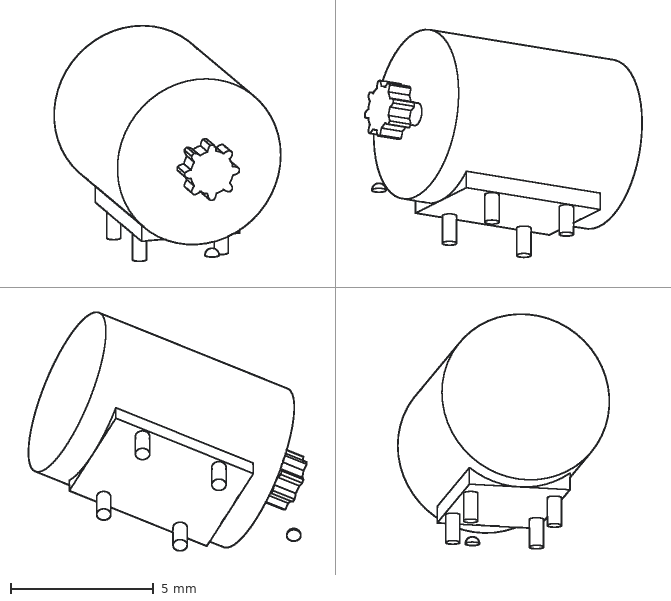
import cadquery as cq
import math

housing_diameter = 6.0
housing_length = 7.4
housing_radius = housing_diameter / 2
axis_height = housing_radius

base_length = 5.4
base_height = 0.6
base_width = 2 * math.sqrt(housing_radius**2 - (axis_height - base_height)**2)

pin_diameter = 0.5
pin_length = 1.0
pin_spacing = 3.0

shaft_diameter = 0.8
shaft_length = 0.65
gear_length = 0.85
tooth_count = 8
gear_tip_radius = 1.0
gear_root_radius = 0.78
tooth_tip_half_angle = 3.8
tooth_mid_half_angle = 8.6
tooth_root_half_angle = 11.5

dome_diameter = 0.5

shaft_start = housing_length / 2
gear_start = shaft_start + shaft_length
gear_end = gear_start + gear_length


def axial_plane(x):
    """Sketch plane facing +X, with its origin on the motor axis."""
    return cq.Workplane("YZ", origin=(x, 0, axis_height))


def polar(radius, degrees):
    angle = math.radians(degrees)
    return radius * math.cos(angle), radius * math.sin(angle)


def make_gear():
    """Pinion with round tooth tips, convex flanks and a round root."""
    pitch_angle = 360 / tooth_count
    flank_mid_radius = (gear_tip_radius + gear_root_radius) / 2
    outline = axial_plane(gear_start).moveTo(*polar(gear_root_radius, -tooth_root_half_angle))
    for tooth in range(tooth_count):
        centre = tooth * pitch_angle
        outline = outline.threePointArc(
            polar(flank_mid_radius, centre - tooth_mid_half_angle),
            polar(gear_tip_radius, centre - tooth_tip_half_angle),
        )
        outline = outline.threePointArc(
            polar(gear_tip_radius, centre),
            polar(gear_tip_radius, centre + tooth_tip_half_angle),
        )
        outline = outline.threePointArc(
            polar(flank_mid_radius, centre + tooth_mid_half_angle),
            polar(gear_root_radius, centre + tooth_root_half_angle),
        )
        outline = outline.threePointArc(
            polar(gear_root_radius, centre + pitch_angle / 2),
            polar(gear_root_radius, centre + pitch_angle - tooth_root_half_angle),
        )
    return outline.close().extrude(gear_length)


def make_motor():
    """Housing, base, pins, shaft and pinion as one solid."""
    housing = axial_plane(-housing_length / 2).circle(housing_radius).extrude(housing_length)
    base = cq.Workplane("XY").rect(base_length, base_width).extrude(base_height)
    pins = (
        cq.Workplane("XY")
        .rect(pin_spacing, pin_spacing, forConstruction=True)
        .vertices()
        .circle(pin_diameter / 2)
        .extrude(-pin_length)
    )
    shaft = axial_plane(shaft_start).circle(shaft_diameter / 2).extrude(shaft_length)
    return housing.union(base).union(pins).union(shaft).union(make_gear()).solids()


def make_dome():
    """Hemisphere resting on Z = 0."""
    dome = cq.Solid.makeSphere(dome_diameter / 2, angleDegrees1=0, angleDegrees2=90)
    return cq.Workplane(dome.translate(cq.Vector(gear_end, 0, 0)))


motor = make_motor()
dome = make_dome()
result = cq.Compound.makeCompound([motor.val(), dome.val()])